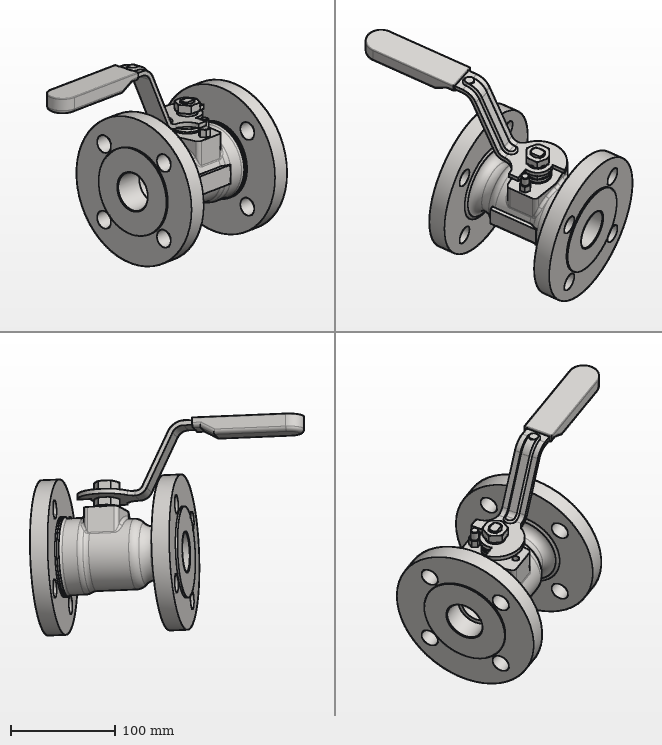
import cadquery as cq
import math


flange_diameter = 150.0
flange_thickness = 17.4
raised_face_diameter = 88.0
hub_diameter = 77.4
bolt_hole_diameter = 18.0
bolt_hole_spacing = 77.5
front_flange_back = -58.7
front_face_height = 2.0
rear_flange_front = 43.1
rear_face_height = 1.5

mouth_diameter = 38.3
mouth_chamfer = 0.8
ball_bore_diameter = 30.1
mouth_depth = 30.6
bore_taper_length = 10.2

barrel_radius = 34.2
barrel_front = -28.0
barrel_rear = 11.2
socket_radius = 37.0
socket_front = 22.0
socket_rear = 36.5
joint_y = 39.3
neck_radius = 25.8
shoulder_drop = 4.3
shoulder_arc_radius = 11.7
neck_front = -47.7
flare_radius = 35.2
joint_groove_depth = 0.5
rear_hub_length = 1.8

boss_half_length = 30.1
boss_end_half_width = 16.5
boss_mid_half_width = 21.5
boss_corner_radius = 4.3
boss_mid_radius = 20.5
boss_bottom = 12.8
boss_top = 42.0
boss_fillet = 3.0
neck_ring_diameter = 19.0
neck_ring_height = 1.3
stop_hole_diameter = 6.6
stop_offset = 22.5
stop_hole_depth = 15.3

pad_front = -30.6
pad_rear = 21.5
pad_height = 19.5
pad_inner_x = 30.6

stem_diameter = 14.3
stem_flat_width = 9.0
stem_bottom = 20.5
stem_top = 72.8
stem_chamfer = 0.8
nut_across_flats = 22.0
nut_corner_chamfer = 1.0
gland_flange_diameter = 27.0
gland_flange_thickness = 1.8
gland_cone_height = 2.3
gland_cone_top_diameter = 25.0
washer_diameter = 20.0
washer_thickness = 3.0
handle_nut_height = 8.7
handle_nut_bore = 12.8

lever_thickness = 4.5
lever_width = 25.0
lever_bottom = 55.0
lever_upper_top = 126.6
lever_slope = math.radians(64.5)
lower_bend_start = -30.1
lower_bend_inner_radius = 8.2
upper_bend_outer_radius = 16.5
lever_end = -176.2
head_radius = 28.3
tab_edge_x = 28.5
tab_front = -14.8
stop_notch_radius = 15.0
stop_notch_left = -4.0
stop_notch_front = -4.0
rib_base_width = 12.8
rib_top_width = 9.0
rib_height = 2.3

grip_width = 30.1
grip_start = -86.5
grip_tip = -193.3
grip_top = 129.06
grip_thin_bottom = 119.7
grip_thick_bottom = 112.3
grip_slope_start = -94.0
grip_slope_end = -107.5
grip_top_round = 0.8
grip_bottom_round = 4.3

pin_diameter = 8.0
pin_chamfer = 0.65
pin_hex_across_flats = 10.0
pin_hex_height = 7.7
pin_top = 59.2

front_face_y = front_flange_back - flange_thickness - front_face_height
rear_face_y = rear_flange_front + flange_thickness + rear_face_height
gland_bottom = boss_top + neck_ring_height
lever_top = lever_bottom + lever_thickness
handle_nut_bottom = lever_top + washer_thickness


def cylinder_z(diameter, bottom, top):
    return cq.Workplane("XY").workplane(offset=bottom).circle(diameter / 2).extrude(top - bottom)


def cylinder_y(diameter, start, end):
    return cq.Workplane("XZ", origin=(0, start, 0)).circle(diameter / 2).extrude(start - end)


def hexagon(across_flats, bottom, top):
    """Hexagonal prism about Z with two corners on the Y axis."""
    corner_diameter = across_flats / math.cos(math.radians(30))
    prism = cq.Workplane("XY").workplane(offset=bottom).polygon(6, corner_diameter).extrude(top - bottom)
    return prism.rotate((0, 0, 0), (0, 0, 1), 30)


def hex_nut(across_flats, bottom, top):
    """Hexagonal prism whose corners are turned down at both ends."""
    corner_diameter = across_flats / math.cos(math.radians(30))
    turned = cylinder_z(corner_diameter, bottom, top).faces("<Z or >Z").chamfer(
        nut_corner_chamfer / 2, nut_corner_chamfer
    )
    return hexagon(across_flats, bottom, top).intersect(turned)


def stem_flats(bottom, top):
    """Round bar with two flats facing +X and -X."""
    flats = cq.Workplane("XY").workplane(offset=bottom).rect(stem_flat_width, stem_diameter)
    return cylinder_z(stem_diameter, bottom, top).intersect(flats.extrude(top - bottom))


def make_flange(front_y):
    """Flange disc with its four bolt holes, running from front_y towards +Y."""
    return (
        cylinder_y(flange_diameter, front_y, front_y + flange_thickness)
        .faces("<Y")
        .workplane(origin=(0, front_y, 0))
        .rect(bolt_hole_spacing, bolt_hole_spacing, forConstruction=True)
        .vertices()
        .hole(bolt_hole_diameter)
    )


def bore_half(face_y, end_y):
    """Bore from a flange face inwards: chamfered mouth, taper, then the ball bore up to end_y."""
    inward = math.copysign(1, end_y - face_y)
    mouth_radius = mouth_diameter / 2
    ball_bore_radius = ball_bore_diameter / 2
    taper_start = face_y + inward * mouth_depth
    taper_end = taper_start + inward * bore_taper_length
    return (
        cq.Workplane("XY")
        .moveTo(0, face_y)
        .lineTo(mouth_radius + mouth_chamfer, face_y)
        .lineTo(mouth_radius, face_y + inward * mouth_chamfer)
        .lineTo(mouth_radius, taper_start)
        .lineTo(ball_bore_radius, taper_end)
        .lineTo(ball_bore_radius, end_y)
        .lineTo(0, end_y)
        .close()
        .revolve(360, (0, 0, 0), (0, 1, 0))
    )


def body_shell():
    """Turned outside of the body, from the front flange to the joint with the end piece."""
    sweep_angle = math.acos(1 - shoulder_drop / shoulder_arc_radius)
    shoulder_end_y = barrel_front - shoulder_arc_radius * math.sin(sweep_angle)
    shoulder_end_radius = barrel_radius - shoulder_drop
    shoulder_mid_y = barrel_front - shoulder_arc_radius * math.sin(sweep_angle / 2)
    shoulder_mid_radius = barrel_radius - shoulder_arc_radius * (1 - math.cos(sweep_angle / 2))
    step_mid_y = (socket_front + barrel_rear) / 2
    step_mid_radius = (socket_radius + barrel_radius) / 2
    hub_radius = hub_diameter / 2
    flare_arc_radius = flare_radius - neck_radius
    flare_diagonal = flare_arc_radius * math.sqrt(0.5)
    return (
        cq.Workplane("XY")
        .moveTo(0, front_flange_back)
        .lineTo(hub_radius, front_flange_back)
        .lineTo(flare_radius, neck_front - flare_arc_radius)
        .threePointArc(
            (flare_radius - flare_diagonal, neck_front - flare_diagonal),
            (neck_radius, neck_front),
        )
        .tangentArcPoint((shoulder_end_radius, shoulder_end_y), relative=False)
        .threePointArc((shoulder_mid_radius, shoulder_mid_y), (barrel_radius, barrel_front))
        .lineTo(barrel_radius, barrel_rear)
        .tangentArcPoint((step_mid_radius, step_mid_y), relative=False)
        .tangentArcPoint((socket_radius, socket_front), relative=False)
        .lineTo(socket_radius, socket_rear)
        .tangentArcPoint((hub_radius, joint_y), relative=False)
        .lineTo(0, joint_y)
        .close()
        .revolve(360, (0, 0, 0), (0, 1, 0))
    )


def boss():
    """Block under the stem, widest in the middle, with rounded upright corners."""
    return (
        cq.Workplane("XY")
        .workplane(offset=boss_bottom)
        .polyline(
            [
                (boss_half_length, -boss_end_half_width),
                (boss_half_length, boss_end_half_width),
                (0, boss_mid_half_width),
                (-boss_half_length, boss_end_half_width),
                (-boss_half_length, -boss_end_half_width),
                (0, -boss_mid_half_width),
            ]
        )
        .close()
        .extrude(boss_top - boss_bottom)
        .edges("|Z and (>X or <X)")
        .fillet(boss_corner_radius)
        .edges("|Z and (>Y or <Y)")
        .fillet(boss_mid_radius)
    )


def side_pad():
    """Block whose outer face is flat and level with the socket's radius."""
    return cq.Workplane("XY").box(
        socket_radius - pad_inner_x, pad_rear - pad_front, pad_height, centered=(False, False, True)
    ).translate((pad_inner_x, pad_front, 0))


def make_body():
    """Housing with the front flange, the stem boss, the side pad and the stop holes."""
    foot = cq.selectors.BoxSelector(
        (-socket_radius, -socket_radius, boss_bottom),
        (socket_radius, socket_radius, barrel_radius + boss_fillet),
    )
    solid = body_shell().union(boss()).edges(foot).edges("not |Z").fillet(boss_fillet)
    flange = make_flange(front_flange_back - flange_thickness)
    face = cylinder_y(raised_face_diameter, front_face_y, front_flange_back - flange_thickness)
    solid = solid.union(side_pad()).union(flange).union(face)
    solid = solid.union(cylinder_z(neck_ring_diameter, boss_top, gland_bottom))
    solid = solid.cut(bore_half(front_face_y, joint_y))
    solid = solid.cut(cylinder_z(stem_diameter, stem_bottom, gland_bottom))
    for side in (-1, 1):
        hole = cylinder_z(stop_hole_diameter, boss_top - stop_hole_depth, boss_top)
        solid = solid.cut(hole.translate((side * stop_offset, 0, 0)))
    return solid


def make_end_piece():
    """Rear flange with a grooved hub that butts against the body."""
    groove_end = rear_flange_front - rear_hub_length
    solid = cylinder_y(hub_diameter - 2 * joint_groove_depth, joint_y, groove_end)
    solid = solid.union(cylinder_y(hub_diameter, groove_end, rear_flange_front))
    solid = solid.union(make_flange(rear_flange_front))
    solid = solid.union(cylinder_y(raised_face_diameter, rear_flange_front + flange_thickness, rear_face_y))
    return solid.cut(bore_half(rear_face_y, joint_y))


def make_stem():
    """Round stem that has two flats from the lever upwards."""
    solid = cylinder_z(stem_diameter, stem_bottom, lever_bottom)
    tip = cylinder_z(stem_diameter, lever_bottom, stem_top).faces(">Z").chamfer(stem_chamfer)
    return solid.union(tip.intersect(stem_flats(lever_bottom, stem_top)))


def make_gland_nut():
    """Hexagonal nut on a round flange, with a cone between the two."""
    flange_top = gland_bottom + gland_flange_thickness
    cone = cq.Workplane(
        cq.Solid.makeCone(
            gland_flange_diameter / 2,
            gland_cone_top_diameter / 2,
            gland_cone_height,
            cq.Vector(0, 0, flange_top),
        )
    )
    solid = hex_nut(nut_across_flats, gland_bottom, lever_bottom).union(cone)
    solid = solid.union(cylinder_z(gland_flange_diameter, gland_bottom, flange_top))
    return solid.cut(cylinder_z(stem_diameter, gland_bottom, lever_bottom))


def make_washer():
    solid = cylinder_z(washer_diameter, lever_top, handle_nut_bottom)
    return solid.cut(cylinder_z(stem_diameter, lever_top, handle_nut_bottom))


def make_handle_nut():
    """Nut on the stem's end; its bore is relieved where the stem is wider than the bore."""
    nut_top = handle_nut_bottom + handle_nut_height
    solid = hex_nut(nut_across_flats, handle_nut_bottom, nut_top)
    solid = solid.cut(cylinder_z(handle_nut_bore, handle_nut_bottom, nut_top))
    return solid.cut(stem_flats(handle_nut_bottom, nut_top))


def make_stop_pin():
    """Pin with a hexagonal collar that stands in the +X stop hole."""
    solid = cylinder_z(stop_hole_diameter, boss_top - stop_hole_depth, boss_top)
    solid = solid.union(cylinder_z(pin_diameter, boss_top, pin_top).faces(">Z").chamfer(pin_chamfer))
    solid = solid.union(hexagon(pin_hex_across_flats, boss_top, boss_top + pin_hex_height))
    return solid.translate((stop_offset, 0, 0))


bend_tangent = math.tan(lever_slope / 2)
lower_corner_y = lower_bend_start - lower_bend_inner_radius * bend_tangent
upper_corner_y = lower_corner_y - (lever_upper_top - lever_top) / math.tan(lever_slope)
upper_bend_end = upper_corner_y - upper_bend_outer_radius * bend_tangent


def lever_path(end_y):
    """Top line of the lever from the start of its lower bend to end_y on its upper flat."""
    lower_centre_z = lever_top + lower_bend_inner_radius
    upper_centre_z = lever_upper_top - upper_bend_outer_radius

    def lower_point(angle):
        return (
            lower_bend_start - lower_bend_inner_radius * math.sin(angle),
            lower_centre_z - lower_bend_inner_radius * math.cos(angle),
        )

    def upper_point(angle):
        return (
            upper_bend_end + upper_bend_outer_radius * math.sin(angle),
            upper_centre_z + upper_bend_outer_radius * math.cos(angle),
        )

    path = (
        cq.Workplane("YZ")
        .moveTo(lower_bend_start, lever_top)
        .threePointArc(lower_point(lever_slope / 2), lower_point(lever_slope))
        .lineTo(*upper_point(lever_slope))
        .threePointArc(upper_point(lever_slope / 2), upper_point(0))
    )
    if end_y < upper_bend_end:
        path = path.lineTo(end_y, lever_upper_top)
    return path


def lever_head():
    """Flat plate around the stem: a disc with a stop notch, a tab and a filleted neck."""
    neck = lever_width / 2
    left_fillet = (lower_bend_start**2 - head_radius**2 + neck**2) / (2 * (head_radius - neck))
    tangent_share = head_radius / (head_radius + left_fillet)
    tangent_x = -(neck + left_fillet) * tangent_share
    tangent_y = lower_bend_start * tangent_share
    right_fillet = tab_front - lower_bend_start
    notch_top = math.sqrt(head_radius**2 - stop_notch_left**2)
    notch_arc_top = math.sqrt(stop_notch_radius**2 - stop_notch_left**2)
    notch_diagonal = stop_notch_radius * math.sqrt(0.5)
    return (
        cq.Workplane("XY")
        .workplane(offset=lever_bottom)
        .moveTo(stop_notch_left, notch_top)
        .threePointArc((-head_radius, 0), (tangent_x, tangent_y))
        .radiusArc((-neck, lower_bend_start), left_fillet)
        .lineTo(neck, lower_bend_start)
        .radiusArc((neck + right_fillet, tab_front), right_fillet)
        .lineTo(tab_edge_x, tab_front)
        .lineTo(tab_edge_x, stop_notch_front)
        .lineTo(stop_notch_radius, stop_notch_front)
        .lineTo(stop_notch_radius, 0)
        .threePointArc((notch_diagonal, notch_diagonal), (stop_notch_left, notch_arc_top))
        .close()
        .extrude(lever_thickness)
    )


def lever_strip():
    """Bent strip from the head to the far end inside the grip."""
    section = cq.Workplane("XZ", origin=(0, lower_bend_start, lever_top - lever_thickness / 2))
    return section.rect(lever_width, lever_thickness).sweep(lever_path(lever_end))


def lever_rib():
    """Raised rib with sloping sides that follows both bends and ends in half cones."""
    base = rib_base_width / 2
    crest = rib_top_width / 2
    section = cq.Workplane("XZ", origin=(0, lower_bend_start, lever_top)).polyline(
        [(-base, 0), (base, 0), (crest, rib_height), (-crest, rib_height)]
    ).close()
    rib = section.sweep(lever_path(upper_bend_end))
    for y, z in ((lower_bend_start, lever_top), (upper_bend_end, lever_upper_top)):
        rib = rib.union(cq.Workplane(cq.Solid.makeCone(base, crest, rib_height, cq.Vector(0, y, z))))
    return rib


def make_lever():
    solid = lever_head().union(lever_strip()).union(lever_rib())
    return solid.cut(stem_flats(lever_bottom, lever_top))


def make_grip(lever):
    """Handle cover: round at its tip, thinner near the lever's bend, with a pocket for the lever."""
    end_radius = grip_width / 2
    end_centre_y = grip_tip + end_radius
    profile = (
        cq.Workplane("YZ", origin=(-end_radius, 0, 0))
        .polyline(
            [
                (grip_start, grip_top),
                (grip_tip, grip_top),
                (grip_tip, grip_thick_bottom),
                (grip_slope_end, grip_thick_bottom),
                (grip_slope_start, grip_thin_bottom),
                (grip_start, grip_thin_bottom),
            ]
        )
        .close()
        .extrude(grip_width)
    )
    outline = (
        cq.Workplane("XY")
        .workplane(offset=grip_thick_bottom)
        .moveTo(end_radius, grip_start)
        .lineTo(-end_radius, grip_start)
        .lineTo(-end_radius, end_centre_y)
        .threePointArc((0, grip_tip), (end_radius, end_centre_y))
        .close()
        .extrude(grip_top - grip_thick_bottom)
    )
    underside = cq.selectors.BoxSelector(
        (-grip_width, grip_tip - 2.5, grip_thick_bottom - 2.5),
        (grip_width, grip_start - 0.3, grip_thin_bottom + 0.3),
    )
    solid = profile.intersect(outline).edges(underside).edges("not |X").fillet(grip_bottom_round)
    solid = solid.faces(">Z").edges().fillet(grip_top_round)
    return solid.cut(lever)


body = make_body()
end_piece = make_end_piece()
stem = make_stem()
gland_nut = make_gland_nut()
washer = make_washer()
handle_nut = make_handle_nut()
stop_pin = make_stop_pin()
lever = make_lever()
grip = make_grip(lever)

result = cq.Compound.makeCompound(
    [
        body.val(),
        end_piece.val(),
        stem.val(),
        gland_nut.val(),
        washer.val(),
        handle_nut.val(),
        stop_pin.val(),
        lever.val(),
        grip.val(),
    ]
)